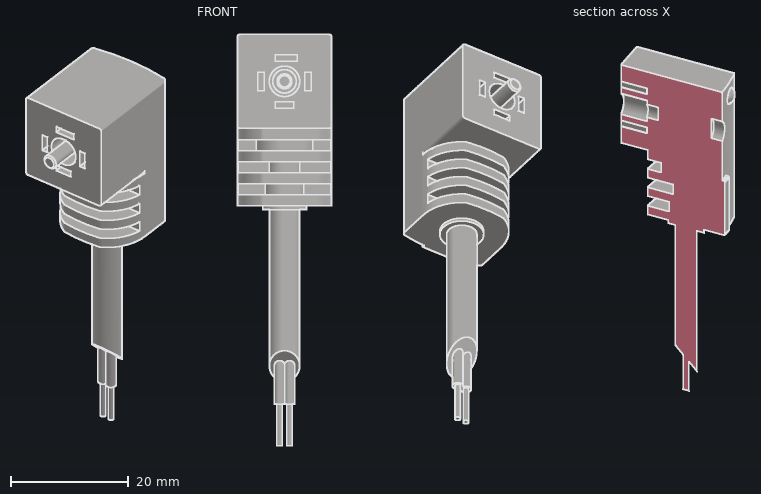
import cadquery as cq
import math


overall_height = 70.0
width = 16.0
half_width = width / 2
height = 29.2
block_height = width
block_bottom = height - block_height
face_y = -12.3
back_y = 6.9
back_bulge_radius = 40.6
back_corner_radius = 0.7
block_edge_radius = 0.5

grip_front_y = -7.35
grip_front_radius = 23.8
grip_corner_radius = 1.4
layer_count = 7
layer_height = block_bottom / layer_count
groove_floor_y = -1.3
groove_core_radii = [3.6, 2.95, 5.0]

axis_z = block_bottom + block_height / 2
recess_diameter = 5.2
recess_depth = 4.9
bore_diameter = 4.0
bore_depth = 7.0
pin_diameter = 2.5
pin_tip_y = -16.4
pin_chamfer = 0.3
contact_offset = 4.0
contact_length = 3.15
long_contact_length = 3.7
contact_thickness = 1.1
contact_depth = 4.9

screw_recess_diameter = 5.0
screw_recess_depth = 2.1
lamp_diameter = 3.0
lamp_x = 5.05
lamp_z = 26.2
lamp_base_y = 6.5
lamp_tip_y = 7.35
plate_width = 6.2
plate_height = 11.2
plate_y = 7.4
plate_chamfer = 0.2

collar_diameter = 7.5
collar_height = 0.6
cable_diameter = 5.2
cable_cut_z = -27.2
wire_diameter = 1.8
wire_x = 0.85
wire_end_z = -33.75
strand_diameter = 1.0
strand_end_z = height - overall_height


def cylinder_down(diameter, end_z, x=0.0, start_z=0.0):
    """Vertical cylinder from start_z down to end_z."""
    plane = cq.Workplane("XY", origin=(x, 0, start_z))
    return plane.circle(diameter / 2).extrude(end_z - start_z)


def cylinder_along_y(diameter, start_y, end_y):
    """Cylinder parallel to Y on the axis of the contact pin."""
    plane = cq.Workplane("XZ", origin=(0, start_y, axis_z))
    return plane.circle(diameter / 2).extrude(start_y - end_y)


def bulged_slab(front_y, bottom_z, slab_height):
    """Full-width slab with a flat front and a bulged back."""
    sag = back_bulge_radius - math.sqrt(back_bulge_radius**2 - half_width**2)
    slab = (
        cq.Workplane("XY", origin=(0, 0, bottom_z))
        .moveTo(-half_width, front_y)
        .lineTo(half_width, front_y)
        .lineTo(half_width, back_y - sag)
        .threePointArc((0, back_y), (-half_width, back_y - sag))
        .close()
        .extrude(slab_height)
    )
    return slab.edges("|Z").edges(">Y").fillet(back_corner_radius)


def make_housing():
    """Square contact block on top of an upright slab."""
    rounded_bar = (
        cq.Workplane("XZ", origin=(0, back_y, axis_z))
        .rect(width, block_height)
        .extrude(back_y - face_y)
        .edges("|Y")
        .fillet(block_edge_radius)
    )
    block = bulged_slab(face_y, block_bottom, block_height).intersect(rounded_bar)
    return block.union(bulged_slab(0, 0, block_bottom + block_edge_radius))


def make_grip():
    """Half-round grip with a flatter front, cut by grooves that leave a round core."""
    front_limit = cq.Workplane("XY", origin=(0, grip_front_y + grip_front_radius, 0))
    front_limit = front_limit.circle(grip_front_radius).extrude(block_bottom)
    grip = (
        cq.Workplane("XY")
        .moveTo(-half_width, 0)
        .threePointArc((0, -half_width), (half_width, 0))
        .close()
        .extrude(block_bottom)
        .intersect(front_limit)
    )
    corners = cq.selectors.BoxSelector(
        (-half_width, grip_front_y, 0), (half_width, grip_front_y / 2, block_bottom)
    )
    grip = grip.edges("|Z").edges(corners).fillet(grip_corner_radius)

    for index, core_radius in enumerate(groove_core_radii):
        plane = cq.Workplane("XY", origin=(0, 0, (2 * index + 1) * layer_height))
        groove = plane.center(0, groove_floor_y - width / 2).rect(2 * width, width).extrude(layer_height)
        core = plane.circle(core_radius).extrude(layer_height)
        grip = grip.cut(groove.cut(core))
    return grip


def contact_slot(x, z, size_x, size_z):
    """Blind rectangular slot centred at x, z from the pin axis."""
    plane = cq.Workplane("XZ", origin=(x, face_y, axis_z + z))
    return plane.rect(size_x, size_z).extrude(-contact_depth)


def cut_contact_face(body):
    """Stepped recess around the pin and four contact slots."""
    body = body.cut(cylinder_along_y(bore_diameter, face_y + bore_depth, face_y))
    body = body.cut(cylinder_along_y(recess_diameter, face_y + recess_depth, face_y))
    for side in (-1, 1):
        body = body.cut(contact_slot(side * contact_offset, 0, contact_thickness, contact_length))
    body = body.cut(contact_slot(0, -contact_offset, contact_length, contact_thickness))
    long_contact_x = (long_contact_length - contact_length) / 2
    return body.cut(contact_slot(long_contact_x, contact_offset, long_contact_length, contact_thickness))


def make_pin():
    pin = cylinder_along_y(pin_diameter, face_y + bore_depth, pin_tip_y)
    return pin.faces("<Y").chamfer(pin_chamfer)


def make_lamp(x):
    """Domed lamp window standing out of the back."""
    rise = lamp_tip_y - lamp_base_y
    dome_radius = ((lamp_diameter / 2) ** 2 + rise**2) / (2 * rise)
    return cq.Workplane("XY", origin=(x, lamp_tip_y - dome_radius, lamp_z)).sphere(dome_radius)


def make_back_plate():
    """Raised plate low on the back, rooted inside the housing."""
    plate = cq.Workplane("XY").box(plate_width, plate_y, plate_height, centered=(True, False, False))
    return plate.faces(">Y").edges("|X").chamfer(plate_chamfer)


def make_cable():
    """Cable with a collar at the housing and two stripped wires at the slanted end."""
    cable = cylinder_down(cable_diameter, cable_cut_z - cable_diameter)
    reach = 2 * cable_diameter
    below_cut = (
        cq.Workplane("YZ", origin=(-reach, 0, 0))
        .moveTo(-reach, cable_cut_z + reach)
        .lineTo(reach, cable_cut_z - reach)
        .lineTo(-reach, cable_cut_z - reach)
        .close()
        .extrude(2 * reach)
    )
    cable = cable.cut(below_cut).union(cylinder_down(collar_diameter, -collar_height))
    for side in (-1, 1):
        x = side * wire_x
        cable = cable.union(cylinder_down(wire_diameter, wire_end_z, x))
        cable = cable.union(cylinder_down(strand_diameter, strand_end_z, x))
    return cable


def cut_screw_recess(body):
    """Blind hole in the back, in line with the pin."""
    return body.cut(cylinder_along_y(screw_recess_diameter, back_y, back_y - screw_recess_depth))


housing = make_housing()
for side in (-1, 1):
    housing = housing.union(make_lamp(side * lamp_x))
housing = cut_screw_recess(cut_contact_face(housing))
result = housing.union(make_grip()).union(make_pin()).union(make_back_plate()).union(make_cable())